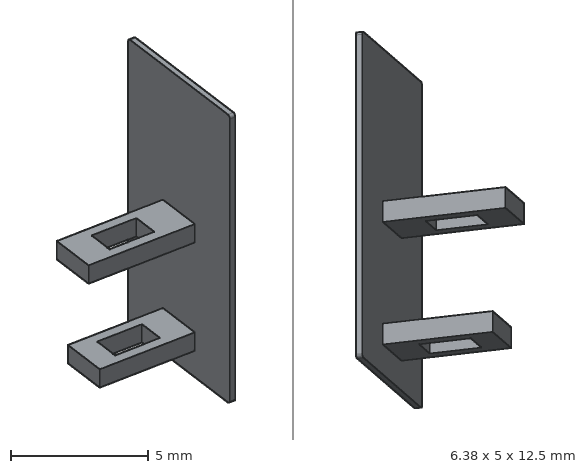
import cadquery as cq

plate_width = 6.38
plate_height = 12.5
plate_thickness = 0.25
corner_radius = 0.12

tab_width = 2.0
tab_thickness = 0.8
tab_spacing = 4.7
upper_tab_z = plate_height / 2
lower_tab_z = upper_tab_z - tab_spacing
upper_tab_reach = 5.0
lower_tab_reach = 4.5

slot_width = 1.12
slot_length = 2.0
upper_slot_start = 1.75
lower_slot_start = 1.5


def make_plate():
    """Thin plate with rounded corners."""
    plate = cq.Workplane("XY").box(
        plate_width, plate_thickness, plate_height, centered=(True, False, False)
    )
    return plate.translate((0, -plate_thickness, 0)).edges("|Y").fillet(corner_radius)


def block(width, start, end, height, center_z):
    """Block centred on X, between two distances in front of the plate's back face."""
    center_y = -(start + end) / 2
    return cq.Workplane("XY").box(width, end - start, height).translate((0, center_y, center_z))


def make_tab(reach, slot_start, center_z):
    """Tab rooted in the plate, with its vertical through slot."""
    tab = block(tab_width, plate_thickness / 2, reach, tab_thickness, center_z)
    slot_end = slot_start + slot_length
    return tab.cut(block(slot_width, slot_start, slot_end, tab_thickness, center_z))


upper_tab = make_tab(upper_tab_reach, upper_slot_start, upper_tab_z)
lower_tab = make_tab(lower_tab_reach, lower_slot_start, lower_tab_z)
result = make_plate().union(upper_tab).union(lower_tab)